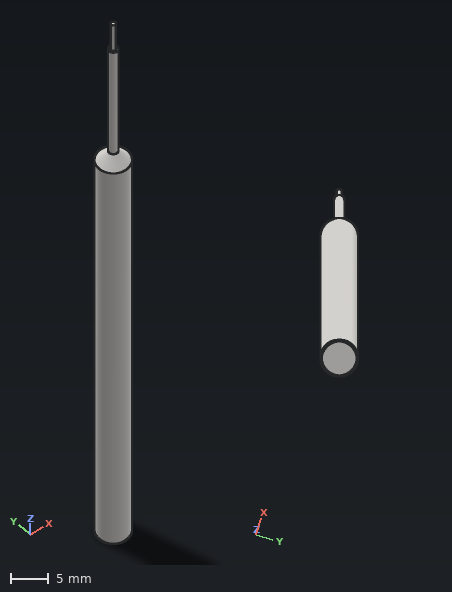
import cadquery as cq

total_length = 100.0
handle_diameter = 5.0
shaft_diameter = 1.4
tip_diameter = 0.72

tip_length = 5.0
shaft_length = 20.0
bottom_chamfer = 0.2

handle_radius = handle_diameter / 2
shaft_radius = shaft_diameter / 2
tip_radius = tip_diameter / 2

shoulder_height = handle_radius - shaft_radius

tip_base = total_length - tip_length
shaft_base = tip_base - shaft_length
handle_top = shaft_base - shoulder_height

half_outline = (
    cq.Workplane("XZ")
    .moveTo(0, 0)
    .lineTo(-(handle_radius - bottom_chamfer), 0)
    .lineTo(-handle_radius, bottom_chamfer)
    .lineTo(-handle_radius, handle_top)
    .lineTo(-shaft_radius, shaft_base)
    .lineTo(-shaft_radius, tip_base)
    .lineTo(-tip_radius, tip_base)
    .lineTo(-tip_radius, total_length)
    .lineTo(0, total_length)
    .close()
)

result = half_outline.revolve(360, (0, 0), (0, 1))